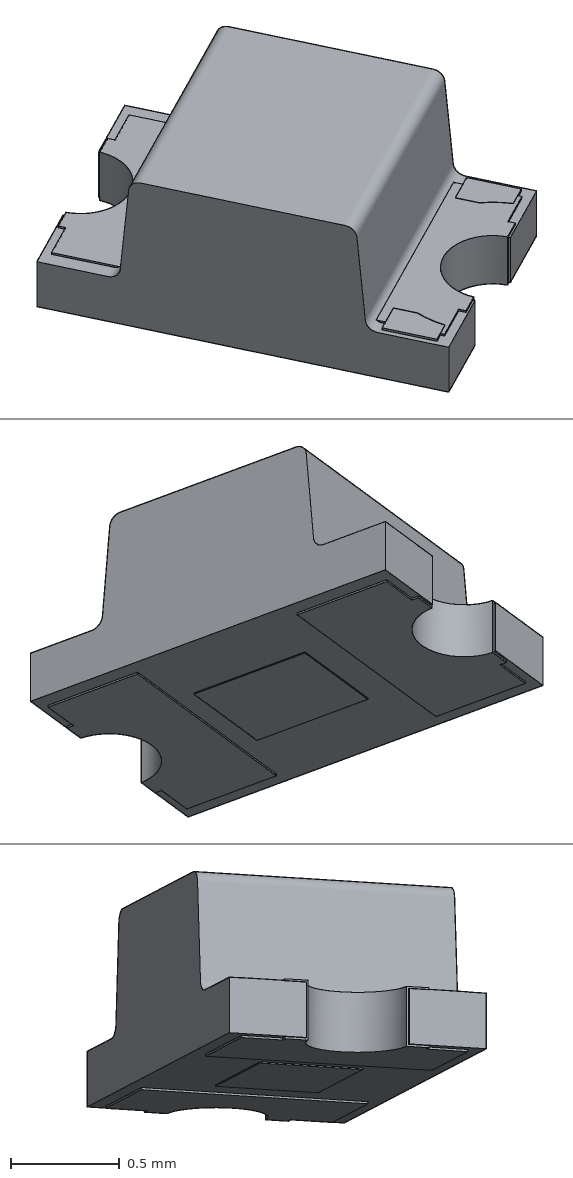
import cadquery as cq
import math

length = 2.0
width = 1.25
height = 0.85

board_thickness = 0.26
plating = 0.01
board_top = plating + board_thickness
pad_top = board_top + plating

lens_base_length = 1.2
draft_angle = 5.0
lens_fillet = 0.06

plated_radius = 0.24
notch_radius = plated_radius + plating

pad_width = 1.1
pad_outer_x = 0.955
tab_width = 0.7
tab_outer_x = length / 2 - plating
top_pad_inner_x = lens_base_length / 2 - lens_fillet
bottom_pad_inner_x = 0.45

mark_inner_x = 0.668
mark_outer_x = 0.935
mark_inner_y = 0.44
mark_outer_y = 0.6
mark_clearance_radius = 0.49
mark_rise = 0.002

bar_start_x = -0.28
bar_end_x = 0.345
bar_width = 0.5
bar_thickness = 0.005


def block(x_start, x_end, y_start, y_end, z_start, z_end):
    """Box between two opposite corners, given as start and end along each axis."""
    size = (x_end - x_start, y_end - y_start, z_end - z_start)
    return cq.Workplane("XY").box(*size, centered=False).translate((x_start, y_start, z_start))


def centred_block(x_start, x_end, y_width, z_start, z_end):
    """Box that is symmetric about the XZ plane."""
    return block(x_start, x_end, -y_width / 2, y_width / 2, z_start, z_end)


def end_cylinder(radius):
    """Full-height upright cylinder centred on the middle of the +X end."""
    return cq.Workplane("XY").center(length / 2, 0).circle(radius).extrude(height)


def both_ends(feature):
    """The +X feature together with its mirror image at the -X end."""
    return feature.union(feature.mirror("YZ"))


def make_body():
    """Board and lens as one profile, rounded at the lens crown and foot."""
    half_length = length / 2
    half_foot = lens_base_length / 2
    half_crown = half_foot - (height - board_top) * math.tan(math.radians(draft_angle))
    outline = [
        (-half_length, plating),
        (half_length, plating),
        (half_length, board_top),
        (half_foot, board_top),
        (half_crown, height),
        (-half_crown, height),
        (-half_foot, board_top),
        (-half_length, board_top),
    ]
    profile = cq.Workplane("XZ").polyline(outline).close()
    body = profile.extrude(width / 2, both=True)
    margin = 0.02
    crown_and_foot = cq.selectors.BoxSelector(
        (-half_foot - margin, -width, board_top - margin),
        (half_foot + margin, width, height + margin),
    )
    return body.edges("|Y").edges(crown_and_foot).fillet(lens_fillet)


def make_pad(inner_x, z_start):
    """Solder pad at the +X end with a narrower tab reaching towards the board edge."""
    z_end = z_start + plating
    pad = centred_block(inner_x, pad_outer_x, pad_width, z_start, z_end)
    tab = centred_block(inner_x, tab_outer_x, tab_width, z_start, z_end)
    return pad.union(tab)


def make_notch_lining():
    """Cylinder that becomes the notch wall plating once the notch is cut through it."""
    reach = centred_block(0, tab_outer_x, width, 0, pad_top)
    return end_cylinder(notch_radius).intersect(reach)


def make_cathode_marks():
    """Pair of marks whose inner corners follow a circle around the notch."""
    z_end = pad_top + mark_rise
    mark = block(mark_inner_x, mark_outer_x, mark_inner_y, mark_outer_y, board_top, z_end)
    mark = mark.cut(end_cylinder(mark_clearance_radius))
    return mark.union(mark.mirror("XZ"))


def make_polarity_bar():
    """Thin rectangular bar between the bottom pads, set off-centre towards +X."""
    return centred_block(bar_start_x, bar_end_x, bar_width, plating - bar_thickness, plating)


result = (
    make_body()
    .cut(both_ends(end_cylinder(notch_radius)))
    .union(both_ends(make_notch_lining()))
    .union(both_ends(make_pad(top_pad_inner_x, board_top)))
    .union(both_ends(make_pad(bottom_pad_inner_x, 0)))
    .cut(both_ends(end_cylinder(plated_radius)))
    .union(make_cathode_marks())
    .union(make_polarity_bar())
)